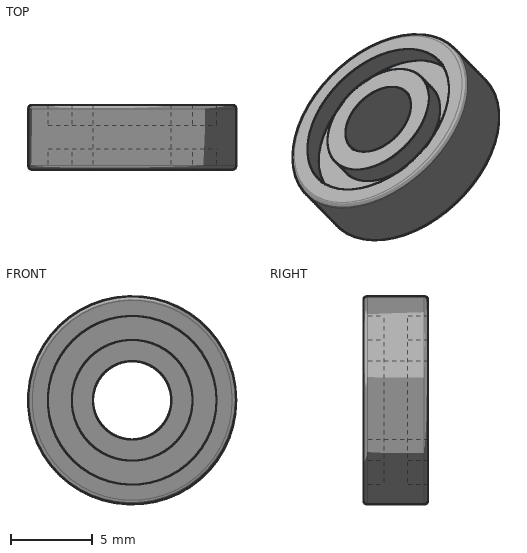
import cadquery as cq

outer_diameter = 12.7
width = 3.96
bore_diameter = 4.76
inner_ring_diameter = 7.37
outer_ring_inner_diameter = 10.29
recess_depth = 1.27
rim_fillet = 0.25


def cylinder_along_y(diameter, length):
    """Solid cylinder centred on the origin with its axis along Y."""
    start_plane = cq.Workplane("XZ", origin=(0, length / 2, 0))
    return start_plane.circle(diameter / 2).extrude(length)


def ring_along_y(diameter, hole_diameter, length):
    """Plain ring centred on the origin with its axis along Y."""
    return cylinder_along_y(diameter, length).cut(cylinder_along_y(hole_diameter, length))


body = cylinder_along_y(outer_diameter, width).faces("<Y or >Y").edges().fillet(rim_fillet)
body = body.cut(cylinder_along_y(bore_diameter, width))

recess = ring_along_y(outer_ring_inner_diameter, inner_ring_diameter, recess_depth)
recess_centre = (width - recess_depth) / 2
for side in (-1, 1):
    body = body.cut(recess.translate((0, side * recess_centre, 0)))

result = body